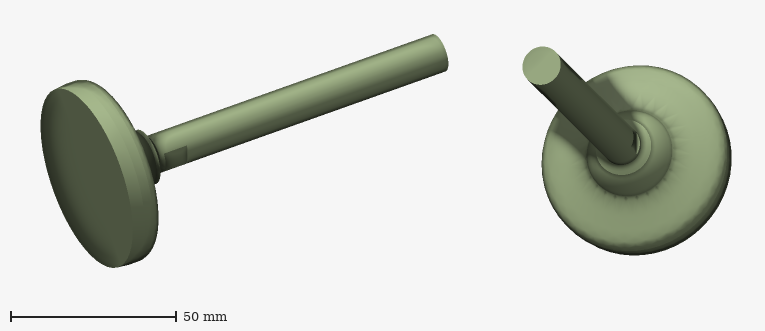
import cadquery as cq
import math

total_length = 122.0

plate_radius = 58.0 / 2
sole_radius = 28.5
taper_height = 4.0
rim_height = 7.1

slope_inner = (15.2, 12.1)
slope_outer = (25.6, 10.2)
dome_foot_tangent = (0.5, -0.8)
slope_tangent = (1, -math.tan(math.radians(10)))
rim_tangent = (0.2, -1)

dome_radius = 14.4
dome_center_height = 7.9
dome_foot_height = 13.3
dome_top_height = 19.9

lip_radius = 8.7
lip_edge_height = 20.7
lip_top_height = 22.5
lip_top_radius = 5.4

stem_diameter = 12.0
flat_width = 9.8
flat_start = 24.0
flat_length = 7.9


def dome_point(height):
    """Point (radius, height) on the spherical hub."""
    rise = height - dome_center_height
    return math.sqrt(dome_radius**2 - rise**2), height


def make_foot():
    dome_foot = dome_point(dome_foot_height)
    dome_middle = dome_point((dome_foot_height + dome_top_height) / 2)
    profile = (
        cq.Workplane("XY")
        .moveTo(*dome_foot)
        .spline(
            [slope_inner, slope_outer, (plate_radius, rim_height)],
            tangents=[dome_foot_tangent, slope_tangent, slope_tangent, rim_tangent],
            includeCurrent=True,
        )
        .lineTo(plate_radius, taper_height)
        .lineTo(sole_radius, 0)
        .lineTo(0, 0)
        .lineTo(0, lip_top_height)
        .lineTo(lip_top_radius, lip_top_height)
        .lineTo(lip_radius, lip_edge_height)
        .lineTo(*dome_point(dome_top_height))
        .threePointArc(dome_middle, dome_foot)
        .close()
    )
    return profile.revolve(360, (0, 0, 0), (0, 1, 0))


def make_stem():
    stem_length = total_length - lip_top_height
    stem_base = cq.Workplane("XZ", origin=(0, lip_top_height, 0))
    stem = stem_base.circle(stem_diameter / 2).extrude(-stem_length)

    for side in (-1, 1):
        cutter = cq.Workplane("XY").box(stem_diameter, flat_length, stem_diameter)
        cutter_x = side * (flat_width + stem_diameter) / 2
        stem = stem.cut(cutter.translate((cutter_x, flat_start + flat_length / 2, 0)))
    return stem


foot = make_foot()
stem = make_stem()
result = cq.Compound.makeCompound([foot.val(), stem.val()])